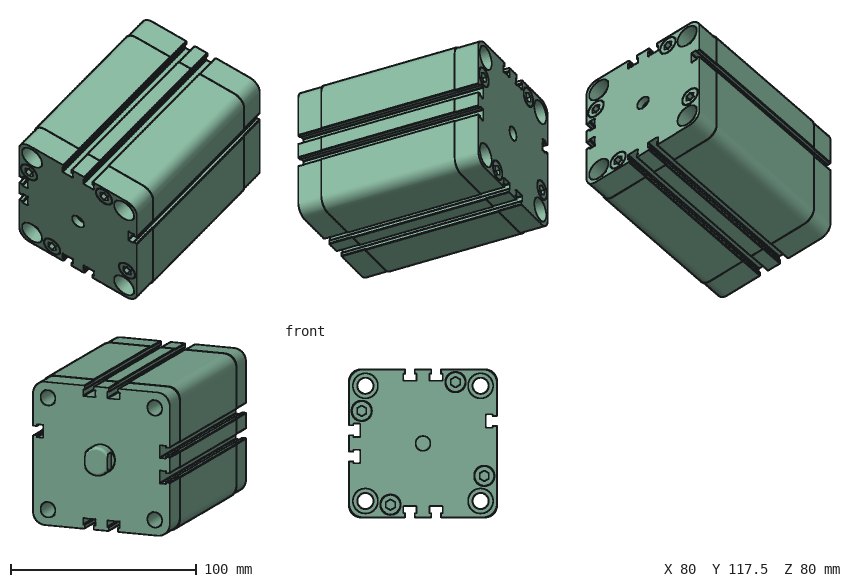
import cadquery as cq
import math


body_width = 80.0
cap_width = 79.4
corner_radius = 7.0
housing_length = 110.0
cap_length = 14.25

groove_offset = 7.05
mouth_width = 5.2
pocket_width = 7.1
mouth_depth = 2.5
groove_depth = 6.2
pocket_corner = 0.3
mouth_chamfer = 0.35
single_groove_offset = 12.1

mount_offset = 31.0
mount_diameter = 8.57
counterbore_diameter = 13.5
counterbore_depth = 8.5

screw_far_offset = 33.0
screw_near_offset = 17.5
recess_diameter = 11.1
head_diameter = 10.5
recess_depth = 6.0
hex_across_flats = 5.0
hex_depth = 5.0
hex_sides = 6

center_hole_diameter = 8.0
center_hole_depth = 4.0

rod_diameter = 16.0
rod_length = 7.5
tip_radius = 1.6
flat_spacing = 13.0
flat_length = 5.5


def front_plane(y=0.0):
    """Workplane facing -Y: local x is +X, local y is +Z, extrusion goes towards -Y."""
    return cq.Workplane("XZ", origin=(0, y, 0))


def groove_cutter(bar_width, length, offset, side_angle):
    """Groove along +Y in the +Z side of a bar, shifted along X, then turned about the Y axis."""
    floor = body_width / 2 - groove_depth
    lip_end = body_width / 2 - mouth_depth
    bar_surface = bar_width / 2
    half_mouth = mouth_width / 2
    half_pocket = pocket_width / 2
    half_profile = [
        (half_pocket - pocket_corner, floor),
        (half_pocket, floor + pocket_corner),
        (half_pocket, lip_end - pocket_corner),
        (half_pocket - pocket_corner, lip_end),
        (half_mouth, lip_end),
        (half_mouth, bar_surface - mouth_chamfer),
        (half_mouth + mouth_chamfer, bar_surface),
    ]
    mirrored = [(-x, z) for x, z in reversed(half_profile)]
    profile = [(x + offset, z) for x, z in half_profile + mirrored]
    cutter = front_plane().polyline(profile).close().extrude(-length)
    return cutter.rotate((0, 0, 0), (0, 1, 0), side_angle)


def grooved_bar(width, y_start, length):
    """Rounded square bar along +Y: groove pairs on +Z, -Z and -X, a single groove on +X."""
    bar = front_plane().rect(width, width).extrude(-length).edges("|Y").fillet(corner_radius)
    for side_angle in (0, 180, 270):
        for offset in (-groove_offset, groove_offset):
            bar = bar.cut(groove_cutter(width, length, offset, side_angle))
    bar = bar.cut(groove_cutter(width, length, -single_groove_offset, 90))
    return bar.translate((0, y_start, 0))


def make_housing():
    """Profile tube between two slightly smaller end caps."""
    front_cap = grooved_bar(cap_width, 0, cap_length)
    tube = grooved_bar(body_width, cap_length, housing_length - 2 * cap_length)
    rear_cap = grooved_bar(cap_width, housing_length - cap_length, cap_length)
    return front_cap.union(tube).union(rear_cap)


def cut_mounting_holes(part):
    """Through holes in the four corners, counterbored from the front."""
    corners = [(x, z) for x in (-mount_offset, mount_offset) for z in (-mount_offset, mount_offset)]
    holes = front_plane().pushPoints(corners).circle(mount_diameter / 2).extrude(-housing_length)
    counterbores = (
        front_plane().pushPoints(corners).circle(counterbore_diameter / 2).extrude(-counterbore_depth)
    )
    return part.cut(holes).cut(counterbores)


def add_cap_screws(part):
    """Four socket-head screws, flush with the front face."""
    centers = [
        (screw_near_offset, screw_far_offset),
        (screw_far_offset, -screw_near_offset),
        (-screw_near_offset, -screw_far_offset),
        (-screw_far_offset, screw_near_offset),
    ]
    clearance = (
        front_plane()
        .pushPoints(centers)
        .circle(recess_diameter / 2)
        .circle(head_diameter / 2)
        .extrude(-recess_depth)
    )
    hex_across_corners = hex_across_flats / math.cos(math.pi / hex_sides)
    hexagon = cq.Sketch().regularPolygon(hex_across_corners / 2, hex_sides)
    sockets = front_plane().pushPoints(centers).placeSketch(hexagon).extrude(-hex_depth)
    return part.cut(clearance).cut(sockets)


def cut_center_hole(part):
    """Blind hole on the axis of the front cap."""
    hole = front_plane().circle(center_hole_diameter / 2).extrude(-center_hole_depth)
    return part.cut(hole)


def make_rod():
    """Rod end with a rounded tip and two flats that run out at 45 degrees."""
    rod = front_plane(housing_length).circle(rod_diameter / 2).extrude(-rod_length)
    rod = rod.faces(">Y").edges().fillet(tip_radius)
    tip = housing_length + rod_length
    flat_end = tip - flat_length
    half_flat = flat_spacing / 2
    reach = rod_diameter / 2
    run_out = reach - half_flat
    profile = [
        (half_flat, tip),
        (half_flat, flat_end),
        (reach, flat_end - run_out),
        (reach, tip),
    ]
    flat = cq.Workplane("XY").polyline(profile).close().extrude(reach, both=True)
    return rod.cut(flat).cut(flat.mirror("YZ"))


housing = make_housing()
housing = cut_mounting_holes(housing)
housing = add_cap_screws(housing)
housing = cut_center_hole(housing)
result = housing.union(make_rod())